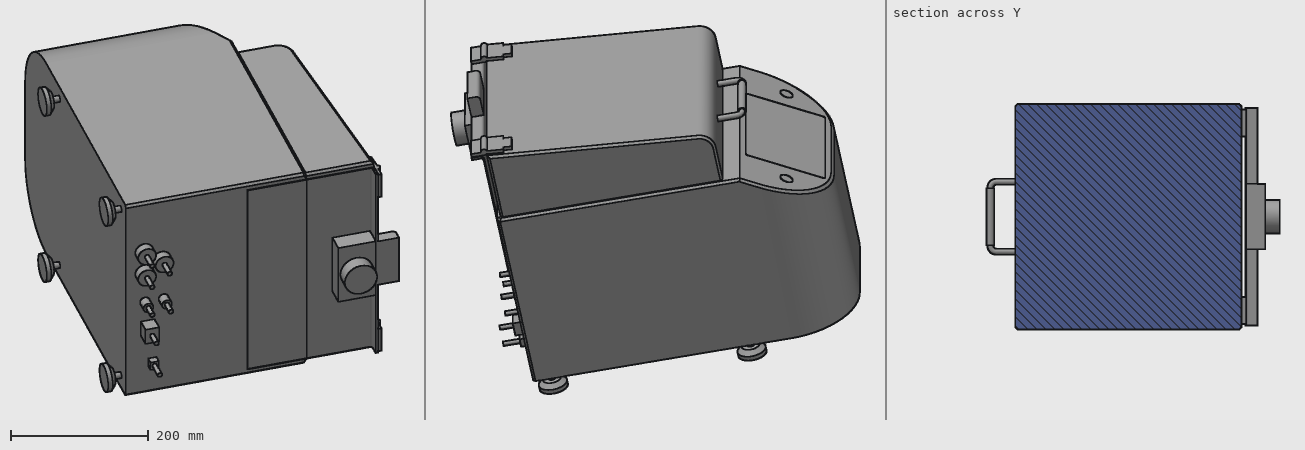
import cadquery as cq


base_length = 483.5
base_height = 275.0
base_width = 336.5
front_height = 203.0
slope_length = 125.0
front_radius = 101.5
edge_bevel = 4.0

slope_rise = base_height - front_height
slope_middle = (slope_length / 2, front_height + slope_rise / 2, 0)
slope_normal = (-slope_rise, slope_length, 0)
panel_depth = 0.5
screen_length = 122.0
screen_width = 180.0
screen_corner_radius = 3.0
screen_offset = 1.5
button_diameter = 19.0
button_spacing = 248.0

foot_xs = (164.0, 457.5)
foot_z = 147.0
foot_height = 25.5
foot_rim_height = 7.0
foot_stem_height = 12.0
foot_diameter = 42.0
foot_top_diameter = 26.5
foot_stem_diameter = 9.5

socket_diameter = 27.0
socket_length = 14.0
socket_pin_length = 38.5
pin_diameter = 7.0
socket_places = ((28.0, 82.0), (54.5, 63.0), (28.0, 45.0))

switch_ys = (29.0, 57.0)
switch_z = -6.5
switch_diameter = 15.0
switch_length = 16.5
switch_pin_length = 36.0

plug_y, plug_z = 33.0, -53.0
plug_height, plug_width = 21.0, 25.0
plug_length = 22.0
plug_pin_length = 42.5

jack_y, jack_z = 40.0, -114.5
jack_size = 13.0
jack_length = 11.0
jack_pin_length = 36.5

lid_front_x = 149.5
lid_back_x = 478.5
lid_width = 328.0
lid_gap = 1.0
lid_front_height = 352.5
lid_back_height = 379.0
lid_nose_radius = 24.0
lid_slope = (lid_back_height - lid_front_height) / (lid_back_x - lid_front_x)

handle_x = 114.0
handle_y = 315.0
handle_rod_diameter = 9.0
handle_post_z = 51.0
handle_bend_radius = 8.5
grip_diameter = 12.0
grip_length = 83.5

sheet = 1.5
bracket_width = 316.0
bracket_bottom = 185.0
bracket_top = 378.0
flange_thickness = 4.0
bend_radius = 3.0
flange_end_x = 501.5
stop_top = 410.0
stop_width = 77.0
stop_radius = 6.0
motor_end_x = 513.0
motor_bottom, motor_top = 314.0, 371.0
motor_width = 95.0
shaft_diameter = 49.0
shaft_y = 342.0
shaft_end_x = 534.0

hinge_z = 136.0
hinge_width = 39.5
hinge_tip_width = 26.5
hinge_tip_x = 441.5
hinge_shoulder_x = 454.0
barrel_diameter = 9.5
barrel_x = 482.0
leaf_thickness = 5.5


def lid_top(x):
    """Height of the sloping lid top at x."""
    return lid_front_height + lid_slope * (x - lid_front_x)


def rod_x(x, y, z, diameter, length):
    """Round bar along +X starting at (x, y, z)."""
    return cq.Workplane("YZ", origin=(x, y, z)).circle(diameter / 2).extrude(length)


def block_x(x, y, z, height, width, length):
    """Rectangular bar along +X starting at (x, y, z)."""
    return cq.Workplane("YZ", origin=(x, y, z)).rect(height, width).extrude(length)


def make_shell():
    """Base housing with rounded front corners and a sloping front top."""
    shell = (
        cq.Workplane("XY")
        .moveTo(0, 0)
        .lineTo(base_length, 0)
        .lineTo(base_length, base_height)
        .lineTo(slope_length, base_height)
        .lineTo(0, front_height)
        .close()
        .extrude(base_width / 2, both=True)
    )
    shell = shell.edges("|Y and <X").fillet(front_radius)
    shell = shell.edges("|Y and >X").chamfer(edge_bevel)
    top_rim = shell.faces(">Y").edges("not |Z")
    slope_rim = shell.faces(cq.NearestToPointSelector(slope_middle)).edges("not (|Z and >X)")
    return shell.newObject(top_rim.vals() + slope_rim.vals()).chamfer(edge_bevel)


def cut_control_panel(shell):
    """Shallow recesses for the screen and two round buttons on the sloped face."""
    slope_plane = cq.Plane(
        origin=slope_middle,
        xDir=(slope_length, slope_rise, 0),
        normal=slope_normal,
    )
    screen = (
        cq.Workplane(slope_plane)
        .center(screen_offset, 0)
        .rect(screen_length, screen_width)
        .extrude(-panel_depth)
        .edges(cq.ParallelDirSelector(cq.Vector(*slope_normal)))
        .fillet(screen_corner_radius)
    )
    buttons = (
        cq.Workplane(slope_plane)
        .pushPoints([(0, -button_spacing / 2), (0, button_spacing / 2)])
        .circle(button_diameter / 2)
        .extrude(-panel_depth)
    )
    return shell.cut(screen).cut(buttons)


def make_foot(x, z):
    """Turned foot: stem, cone and flat rim, standing below Y = 0."""
    return (
        cq.Workplane("XY")
        .moveTo(0, 0)
        .lineTo(foot_stem_diameter / 2, 0)
        .lineTo(foot_stem_diameter / 2, -foot_stem_height)
        .lineTo(foot_top_diameter / 2, -foot_stem_height)
        .lineTo(foot_diameter / 2, foot_rim_height - foot_height)
        .lineTo(foot_diameter / 2, -foot_height)
        .lineTo(0, -foot_height)
        .close()
        .revolve(360, (0, 0, 0), (0, 1, 0))
        .translate((x, 0, z))
    )


def make_connectors():
    """Solids of the sockets, switch, plug and jack on the back face."""
    parts = []
    for y, z in socket_places:
        parts.append(rod_x(base_length, y, z, socket_diameter, socket_length))
        parts.append(rod_x(base_length, y, z, pin_diameter, socket_pin_length))
    for y in switch_ys:
        parts.append(rod_x(base_length, y, switch_z, switch_diameter, switch_length))
        parts.append(rod_x(base_length, y, switch_z, pin_diameter, switch_pin_length))
    parts.append(block_x(base_length, plug_y, plug_z, plug_height, plug_width, plug_length))
    parts.append(rod_x(base_length, plug_y, plug_z, pin_diameter, plug_pin_length))
    parts.append(block_x(base_length, jack_y, jack_z, jack_size, jack_size, jack_length))
    parts.append(rod_x(base_length, jack_y, jack_z, pin_diameter, jack_pin_length))
    return parts


def make_base():
    base = cut_control_panel(make_shell())
    for x in foot_xs:
        for z in (-foot_z, foot_z):
            base = base.union(make_foot(x, z))
    for connector in make_connectors():
        base = base.union(connector)
    return base


def make_handle():
    """Bent rod with a thicker grip, reaching forward from the lid front."""
    path = (
        cq.Workplane("XZ", origin=(0, handle_y, 0))
        .moveTo(lid_front_x, -handle_post_z)
        .lineTo(handle_x + handle_bend_radius, -handle_post_z)
        .radiusArc((handle_x, handle_bend_radius - handle_post_z), handle_bend_radius)
        .lineTo(handle_x, handle_post_z - handle_bend_radius)
        .radiusArc((handle_x + handle_bend_radius, handle_post_z), handle_bend_radius)
        .lineTo(lid_front_x, handle_post_z)
    )
    rod = (
        cq.Workplane("YZ", origin=(lid_front_x, handle_y, -handle_post_z))
        .circle(handle_rod_diameter / 2)
        .sweep(path)
    )
    grip = (
        cq.Workplane("XY", origin=(handle_x, handle_y, 0))
        .circle(grip_diameter / 2)
        .extrude(grip_length / 2, both=True)
    )
    return rod.union(grip)


def make_lid():
    """Wedge-shaped lid with a rounded nose, bevelled edges and the handle."""
    lid_bottom = base_height + lid_gap
    lid = (
        cq.Workplane("XY")
        .moveTo(lid_front_x, lid_bottom)
        .lineTo(lid_back_x, lid_bottom)
        .lineTo(lid_back_x, lid_back_height)
        .lineTo(lid_front_x, lid_front_height)
        .close()
        .extrude(lid_width / 2, both=True)
    )
    lid = lid.faces("<X").edges(">Y").fillet(lid_nose_radius)
    lid = lid.faces("<Z or >Z").edges("not <Y").chamfer(edge_bevel)
    return lid.union(make_handle())


def make_rear_unit():
    """Sheet bracket on the back face, carrying the stop block and the motor."""
    sheet_face = base_length + sheet
    flange_bottom = bracket_top - flange_thickness
    outer_bend = bend_radius + sheet
    bracket = (
        cq.Workplane("XY")
        .moveTo(base_length, bracket_bottom)
        .lineTo(sheet_face, bracket_bottom)
        .lineTo(sheet_face, flange_bottom - bend_radius)
        .radiusArc((sheet_face + bend_radius, flange_bottom), bend_radius)
        .lineTo(flange_end_x, flange_bottom)
        .lineTo(flange_end_x, bracket_top)
        .lineTo(base_length + outer_bend, bracket_top)
        .radiusArc((base_length, bracket_top - outer_bend), -outer_bend)
        .close()
        .extrude(bracket_width / 2, both=True)
    )
    stop = (
        cq.Workplane("XY")
        .moveTo(base_length, bracket_top)
        .lineTo(flange_end_x, bracket_top)
        .lineTo(flange_end_x, stop_top)
        .lineTo(base_length, stop_top)
        .close()
        .extrude(stop_width / 2, both=True)
        .edges("<X and >Y")
        .fillet(stop_radius)
    )
    motor = block_x(
        base_length,
        (motor_bottom + motor_top) / 2,
        0,
        motor_top - motor_bottom,
        motor_width,
        motor_end_x - base_length,
    )
    shaft = rod_x(motor_end_x, shaft_y, 0, shaft_diameter, shaft_end_x - motor_end_x)
    return bracket.union(stop).union(motor).union(shaft)


def make_hinge(z):
    """Hinge with a stepped leaf on the lid, a barrel, and a flat leaf on the bracket flange."""

    def lid_leaf(start_x, width):
        start_y = lid_top(start_x)
        return (
            cq.Workplane("XY")
            .moveTo(start_x, start_y)
            .lineTo(lid_back_x, lid_back_height)
            .lineTo(lid_back_x, lid_back_height + leaf_thickness)
            .lineTo(start_x, start_y + leaf_thickness)
            .close()
            .extrude(width / 2, both=True)
        )

    barrel = (
        cq.Workplane("XY", origin=(barrel_x, bracket_top + barrel_diameter / 2, 0))
        .circle(barrel_diameter / 2)
        .extrude(hinge_width / 2, both=True)
    )
    rear_leaf = (
        cq.Workplane("XY")
        .moveTo(barrel_x, bracket_top)
        .lineTo(flange_end_x, bracket_top)
        .lineTo(flange_end_x, bracket_top + leaf_thickness)
        .lineTo(barrel_x, bracket_top + leaf_thickness)
        .close()
        .extrude(hinge_width / 2, both=True)
    )
    hinge = barrel.union(rear_leaf)
    hinge = hinge.union(lid_leaf(hinge_tip_x, hinge_tip_width))
    hinge = hinge.union(lid_leaf(hinge_shoulder_x, hinge_width))
    return hinge.translate((0, 0, z))


base = make_base()
lid = make_lid()
rear_unit = make_rear_unit()
hinges = [make_hinge(z) for z in (-hinge_z, hinge_z)]

result = cq.Compound.makeCompound(
    [base.val(), lid.val(), rear_unit.val(), *[hinge.val() for hinge in hinges]]
)